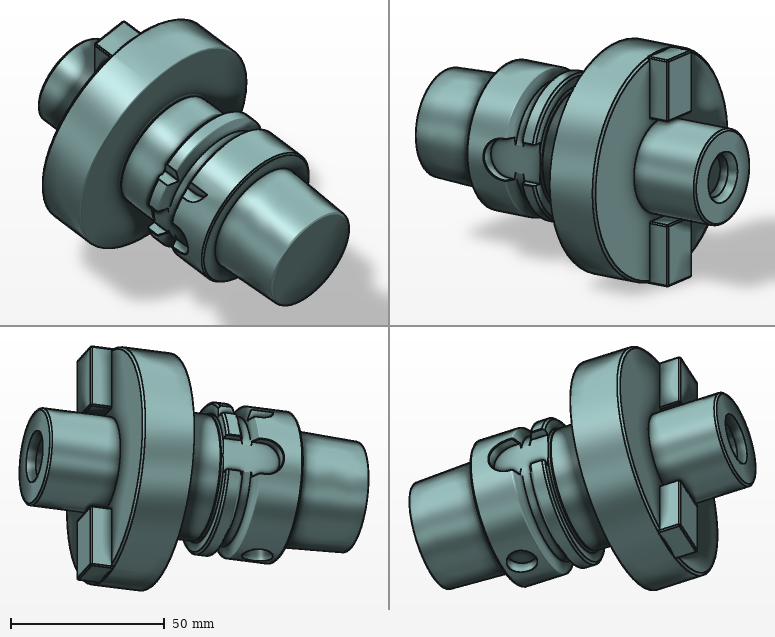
import cadquery as cq
import math

AXIS_START = (0, 0, 0)
AXIS_END = (1, 0, 0)

total_length = 109.0
pilot_diameter = 32.0
pilot_chamfer = 0.7
disc_start = 24.1
disc_end = 41.9
disc_diameter = 78.0
disc_chamfer = 0.8
disc_rear_fillet = 0.5

neck_diameter = 41.6
undercut_depth = 0.2
undercut_taper_length = 0.4
neck_root_fillet = 0.7

flange_start = 57.9
flange_end = 84.0
flange_diameter = 50.0
flange_front_chamfer = 0.8
flange_rear_chamfer = 0.5
groove_center = 65.9
groove_floor_width = 3.3
groove_floor_diameter = 42.7
groove_flank_angle = 24.0
groove_rim_fillet = 0.7
groove_floor_fillet = 0.3

taper_root_diameter = 38.6
taper_end_diameter = 36.4
taper_end_fillet = 0.9

bore_mouth_diameter = 17.0
bore_diameter = 14.2
bore_cone_depth = 2.8
bore_depth = 5.9

key_start = 16.9
key_width = 14.1
key_inner_z = 17.5
key_outer_z = 38.6
key_chamfer = 0.49

narrow_slot_width = 12.0
wide_slot_width = 14.0
slot_end = 77.2
slot_floor = neck_diameter / 2
slot_rim_chamfer = 0.2
slots = ((1, wide_slot_width), (-1, narrow_slot_width))

notch_corner = 15.6
notch_end_radius = narrow_slot_width / 2
notch_flat_end = slot_end - notch_end_radius

pocket_diameter = 10.0
pocket_x = 76.6
pocket_depth = 4.5

flange_radius = flange_diameter / 2
neck_start = disc_end + neck_root_fillet
neck_end = flange_start - neck_root_fillet
groove_flank_depth = (flange_diameter - groove_floor_diameter) / 2
groove_flank_width = groove_flank_depth * math.tan(math.radians(groove_flank_angle))
groove_half_width = groove_floor_width / 2 + groove_flank_width

TOLERANCE = 0.01


def turned_body():
    pilot_r = pilot_diameter / 2
    disc_r = disc_diameter / 2
    neck_r = neck_diameter / 2
    undercut_r = neck_r - undercut_depth
    floor_r = groove_floor_diameter / 2
    floor_half = groove_floor_width / 2
    return (
        cq.Workplane("XY")
        .moveTo(0, 0)
        .lineTo(0, pilot_r - pilot_chamfer)
        .lineTo(pilot_chamfer, pilot_r)
        .lineTo(disc_start, pilot_r)
        .lineTo(disc_start, disc_r - disc_chamfer)
        .lineTo(disc_start + disc_chamfer, disc_r)
        .lineTo(disc_end, disc_r)
        .lineTo(disc_end, undercut_r + neck_root_fillet)
        .radiusArc((neck_start, undercut_r), -neck_root_fillet)
        .lineTo(neck_start + undercut_taper_length, neck_r)
        .lineTo(neck_end - undercut_taper_length, neck_r)
        .lineTo(neck_end, undercut_r)
        .radiusArc((flange_start, undercut_r + neck_root_fillet), -neck_root_fillet)
        .lineTo(flange_start, flange_radius - flange_front_chamfer)
        .lineTo(flange_start + flange_front_chamfer, flange_radius)
        .lineTo(groove_center - groove_half_width, flange_radius)
        .lineTo(groove_center - floor_half, floor_r)
        .lineTo(groove_center + floor_half, floor_r)
        .lineTo(groove_center + groove_half_width, flange_radius)
        .lineTo(flange_end - flange_rear_chamfer, flange_radius)
        .lineTo(flange_end, flange_radius - flange_rear_chamfer)
        .lineTo(flange_end, taper_root_diameter / 2)
        .lineTo(total_length, taper_end_diameter / 2)
        .lineTo(total_length, 0)
        .close()
        .revolve(360, AXIS_START, AXIS_END)
    )


def fillet_circle(body, x, diameter, fillet):
    """Round the full circular edge of the given diameter at position x."""

    def matches(edge):
        at_place = abs(edge.Center().x - x) < TOLERANCE
        return at_place and abs(edge.radius() - diameter / 2) < TOLERANCE

    circle = body.edges("%CIRCLE").filter(matches)
    return body.newObject(circle.vals()).fillet(fillet)


def round_turned_edges(body):
    body = fillet_circle(body, disc_end, disc_diameter, disc_rear_fillet)
    for side in (1, -1):
        rim_x = groove_center + side * groove_half_width
        floor_x = groove_center + side * groove_floor_width / 2
        body = fillet_circle(body, rim_x, flange_diameter, groove_rim_fillet)
        body = fillet_circle(body, floor_x, groove_floor_diameter, groove_floor_fillet)
    return fillet_circle(body, total_length, taper_end_diameter, taper_end_fillet)


def pilot_bore():
    return (
        cq.Workplane("XY")
        .moveTo(0, 0)
        .lineTo(0, bore_mouth_diameter / 2)
        .lineTo(bore_cone_depth, bore_diameter / 2)
        .lineTo(bore_depth, bore_diameter / 2)
        .lineTo(bore_depth, 0)
        .close()
        .revolve(360, AXIS_START, AXIS_END)
    )


def driving_key(side):
    length = disc_start + disc_chamfer - key_start
    height = key_outer_z - key_inner_z
    return (
        cq.Workplane("XY")
        .box(length, key_width, height)
        .edges("|X or <X")
        .chamfer(key_chamfer)
        .translate((key_start + length / 2, 0, side * (key_inner_z + height / 2)))
    )


def gripper_slot(side, width):
    radius = width / 2
    center = slot_end - radius
    return (
        cq.Workplane("XZ", origin=(0, side * slot_floor, 0))
        .moveTo(neck_end, -radius)
        .lineTo(center, -radius)
        .threePointArc((slot_end, 0), (center, radius))
        .lineTo(neck_end, radius)
        .close()
        .extrude(-side * flange_radius)
    )


def orientation_notch():
    end_x = notch_flat_end + notch_end_radius
    return (
        cq.Workplane("XZ", origin=(0, -notch_corner, 0))
        .moveTo(neck_end, notch_corner)
        .lineTo(notch_flat_end, notch_corner)
        .radiusArc((end_x, notch_corner + notch_end_radius), -notch_end_radius)
        .lineTo(end_x, flange_radius)
        .lineTo(neck_end, flange_radius)
        .close()
        .extrude(flange_radius)
    )


def underside_pocket():
    return (
        cq.Workplane("XY", origin=(pocket_x, 0, -flange_radius))
        .circle(pocket_diameter / 2)
        .extrude(pocket_depth)
    )


def chamfer_slot_rims(body):
    """Break the edges where the slot walls meet the outer surface of the flange."""

    def matches(edge):
        along_edge = [edge.positionAt(t) for t in (0.1, 0.5, 0.9)]
        on_surface = all(abs(math.hypot(p.y, p.z) - flange_radius) < TOLERANCE for p in along_edge)
        within_slot = all(abs(p.z) < wide_slot_width / 2 + TOLERANCE for p in along_edge)
        return on_surface and within_slot

    rims = body.edges().filter(matches)
    return body.newObject(rims.vals()).chamfer(slot_rim_chamfer)


result = round_turned_edges(turned_body()).cut(pilot_bore())
for side in (1, -1):
    result = result.union(driving_key(side))
for side, slot_width in slots:
    result = result.cut(gripper_slot(side, slot_width))
result = chamfer_slot_rims(result)
result = result.cut(orientation_notch()).cut(underside_pocket())